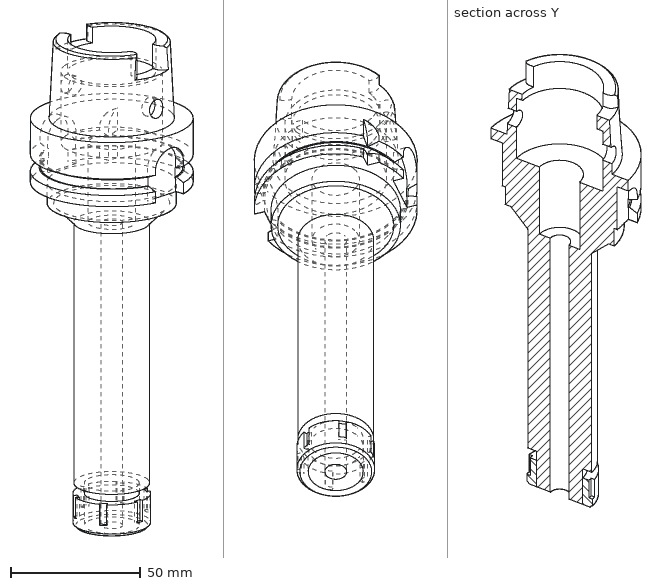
import cadquery as cq
import math


total_length = 197.0

taper_length = 32.0
taper_base_d = 48.5
taper_ratio = 0.1
taper_tip_d = taper_base_d - taper_ratio * taper_length
tip_chamfer = 1.0
cross_hole_d = 7.5
cross_hole_z = 8.9

drive_slot_width = 12.5
drive_slot_flare_r = 3.5
drive_slot_flare_x = 21.0
shallow_slot_depth = 6.3
deep_slot_depth = 9.8

flange_d = 63.0
flange_height = 26.0
groove_d = 55.0
groove_centre_z = -18.1
groove_step_d = 56.1
groove_mouth = 6.7
groove_floor = 3.7

pocket_width = 16.0
pocket_r = pocket_width / 2
pocket_top_z = -5.3
pocket_floor_x = 26.4
side_pocket_floor_x = 19.9
side_pocket_y = 27.5

collar_d = 50.0
collar_bottom_z = -34.5
cone_top_d = 45.0
extension_d = 29.4
cone_bottom_z = collar_bottom_z - (cone_top_d - extension_d) / 2
extension_bottom_z = -148.0
neck_d = 21.3

nut_d = 30.1
nut_height = 13.0
nut_bottom_z = taper_length - total_length
nut_top_z = nut_bottom_z + nut_height
nut_chamfer = 1.2
nut_slot_count = 6
nut_slot_width = 3.0
nut_slot_length = 8.5
nut_slot_depth = 1.5

mouth_d = 34.0
mouth_depth = 13.0
cavity_d = 39.4
cavity_floor_z = -9.8
socket_d = 18.3
socket_floor_z = cone_bottom_z
through_hole_d = 8.5


def turned(profile):
    """Revolve a half section, given as (radius, z) points, about the Z axis."""
    return cq.Workplane("XZ").polyline(profile).close().revolve(360, (0, 0, 0), (0, 1, 0))


def cylinder(diameter, bottom_z, top_z):
    return cq.Workplane("XY").workplane(offset=bottom_z).circle(diameter / 2).extrude(top_z - bottom_z)


def make_drive_slot(side, depth):
    """Cutter for a drive slot whose walls flare outwards in quarter circles."""
    half_width = drive_slot_width / 2
    flared_half_width = half_width + drive_slot_flare_r
    flare_start_x = drive_slot_flare_x - drive_slot_flare_r
    arc_offset = drive_slot_flare_r * math.sqrt(0.5)
    arc_mid_x = flare_start_x + arc_offset
    arc_mid_y = flared_half_width - arc_offset
    slot = (
        cq.Workplane("XY", origin=(0, 0, taper_length - depth))
        .moveTo(0, -half_width)
        .lineTo(flare_start_x, -half_width)
        .threePointArc((arc_mid_x, -arc_mid_y), (drive_slot_flare_x, -flared_half_width))
        .lineTo(taper_base_d / 2, -flared_half_width)
        .lineTo(taper_base_d / 2, flared_half_width)
        .lineTo(drive_slot_flare_x, flared_half_width)
        .threePointArc((arc_mid_x, arc_mid_y), (flare_start_x, half_width))
        .lineTo(0, half_width)
        .close()
        .extrude(depth)
    )
    return slot if side > 0 else slot.mirror("YZ")


def make_shank():
    """Solid taper with a chamfered tip and two drive slots of different depth."""
    shank = turned([
        (0, 0),
        (taper_base_d / 2, 0),
        (taper_tip_d / 2, taper_length),
        (0, taper_length),
    ])
    shank = shank.faces(">Z").chamfer(tip_chamfer)
    shank = shank.cut(make_drive_slot(-1, shallow_slot_depth))
    return shank.cut(make_drive_slot(1, deep_slot_depth))


def make_body_outline():
    """Flange, collar, cone, extension and neck as one turned shape."""
    mouth_top = groove_centre_z + groove_mouth / 2
    mouth_bottom = groove_centre_z - groove_mouth / 2
    floor_top = groove_centre_z + groove_floor / 2
    floor_bottom = groove_centre_z - groove_floor / 2
    return turned([
        (0, 0),
        (flange_d / 2, 0),
        (flange_d / 2, mouth_top),
        (groove_step_d / 2, floor_top),
        (groove_d / 2, floor_top),
        (groove_d / 2, floor_bottom),
        (groove_step_d / 2, floor_bottom),
        (flange_d / 2, mouth_bottom),
        (flange_d / 2, -flange_height),
        (collar_d / 2, -flange_height),
        (collar_d / 2, collar_bottom_z),
        (cone_top_d / 2, collar_bottom_z),
        (extension_d / 2, cone_bottom_z),
        (extension_d / 2, extension_bottom_z),
        (neck_d / 2, extension_bottom_z),
        (neck_d / 2, nut_bottom_z),
        (0, nut_bottom_z),
    ])


def make_pocket(side, floor_x, centre_y):
    """Cutter for a round-topped pocket, open downwards and towards the given X side."""
    arch_z = pocket_top_z - pocket_r
    return (
        cq.Workplane("YZ", origin=(side * floor_x, centre_y, 0))
        .moveTo(-pocket_r, -flange_height)
        .lineTo(-pocket_r, arch_z)
        .threePointArc((0, pocket_top_z), (pocket_r, arch_z))
        .lineTo(pocket_r, -flange_height)
        .close()
        .extrude(side * flange_d)
    )


def make_bore():
    """Cutter for the mouth, the undercut cavity, the socket and the through hole."""
    mouth_bottom_z = taper_length - mouth_depth
    return turned([
        (0, taper_length),
        (mouth_d / 2, taper_length),
        (mouth_d / 2, mouth_bottom_z),
        (cavity_d / 2, mouth_bottom_z),
        (cavity_d / 2, cavity_floor_z),
        (socket_d / 2, cavity_floor_z),
        (socket_d / 2, socket_floor_z),
        (through_hole_d / 2, socket_floor_z),
        (through_hole_d / 2, nut_bottom_z),
        (0, nut_bottom_z),
    ])


def make_holder():
    """Shank, flange and extension in one piece, with pockets, bore and cross hole cut in."""
    body = make_body_outline()
    for side in (-1, 1):
        body = body.cut(make_pocket(side, pocket_floor_x, 0))
    body = body.cut(make_pocket(-1, side_pocket_floor_x, side_pocket_y))
    holder = make_shank().union(body).cut(make_bore())
    hole = cq.Workplane("YZ").center(0, cross_hole_z).circle(cross_hole_d / 2).extrude(flange_d, both=True)
    return holder.cut(hole)


def make_nut():
    """Ring around the neck with wrench slots cut into its rim from the top."""
    nut = cylinder(nut_d, nut_bottom_z, nut_top_z).faces("<Z").chamfer(nut_chamfer)
    nut = nut.cut(cylinder(neck_d, nut_bottom_z, nut_top_z))
    slot = cq.Workplane("XY").box(2 * nut_slot_depth, nut_slot_width, 2 * nut_slot_length)
    slot = slot.translate((nut_d / 2, 0, nut_top_z))
    for i in range(nut_slot_count):
        nut = nut.cut(slot.rotate((0, 0, 0), (0, 0, 1), i * 360 / nut_slot_count))
    return nut


holder = make_holder()
nut = make_nut()
result = cq.Compound.makeCompound([holder.val(), nut.val()])